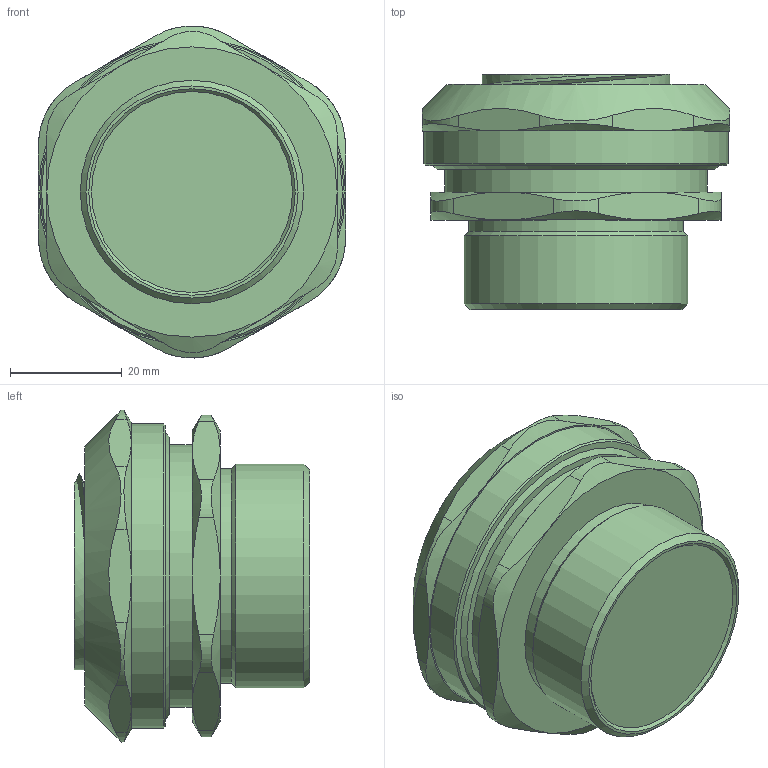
import cadquery as cq
import math


THREAD_CHAMFER = 1.0
THREAD_END = 13.2
LOCKNUT_FRONT = 16.0
LOCKNUT_BACK = 21.0
GASKET_FRONT = 25.1
COLLAR_FRONT = 25.8
HEX_FRONT = 31.95
HEX_BACK = 40.3
SPIGOT_END = 42.1

THREAD_D = 40.0
NECK_D = 38.4
SHANK_D = 47.0
GASKET_D = 51.5
GASKET_FACE_D = 49.6
COLLAR_D = 54.5
COLLAR_CHAMFER = 0.3
SPIGOT_D = 33.6

RECESS_MOUTH_D = 37.0
RECESS_DEPTH = 0.5
RECESS_FLOOR_D = RECESS_MOUTH_D - 2 * RECESS_DEPTH

LOCKNUT_FLATS = 52.0
LOCKNUT_CORNER_R = 8.0
HEX_FLATS = 55.0
HEX_CORNER_R = 13.0
HEX_BACK_FACE_D = 46.4
HEX_BACK_BEVEL = 45.0
NUT_BEVEL = 30.0

RIB_PITCH = 7.6
RIB_BASE = 1.2
RIB_HEIGHT = 1.5
RIB_HALF_SWEEP = 75.0
RIB_OVERLAP = 0.4


def revolve_about_y(profile_points):
    """Revolve a closed (radius, Y) outline about the Y axis."""
    return cq.Workplane("XY").polyline(profile_points).close().revolve(360, (0, 0, 0), (0, 1, 0))


def cylinder(diameter, start, end):
    return cq.Workplane("XZ", origin=(0, start, 0)).circle(diameter / 2).extrude(start - end)


def beveled_hexagon(flats, corner_r, front, back, front_face_d, back_face_d, back_bevel):
    """Hexagonal prism with corners on +Z and -Z, trimmed by a cone at each end."""
    corner_distance = flats / math.sqrt(3)
    prism = (
        cq.Workplane("XZ", origin=(0, front, 0))
        .transformed(rotate=(0, 0, 90))
        .polygon(6, 2 * corner_distance)
        .extrude(front - back)
        .edges("|Y")
        .fillet(corner_r)
    )
    front_spread = (back - front) / math.tan(math.radians(NUT_BEVEL))
    back_spread = (back - front) / math.tan(math.radians(back_bevel))
    front_cone = revolve_about_y([
        (0, front),
        (front_face_d / 2, front),
        (front_face_d / 2 + front_spread, back),
        (0, back),
    ])
    back_cone = revolve_about_y([
        (0, front),
        (back_face_d / 2 + back_spread, front),
        (back_face_d / 2, back),
        (0, back),
    ])
    return prism.intersect(front_cone).intersect(back_cone)


def entry_thread():
    """Plain thread body with a lead-in chamfer, a recess and a relief neck."""
    thread_r = THREAD_D / 2
    neck_r = NECK_D / 2
    return revolve_about_y([
        (0, RECESS_DEPTH),
        (RECESS_FLOOR_D / 2, RECESS_DEPTH),
        (RECESS_MOUTH_D / 2, 0),
        (thread_r - THREAD_CHAMFER, 0),
        (thread_r, THREAD_CHAMFER),
        (thread_r, THREAD_END),
        (neck_r, THREAD_END + thread_r - neck_r),
        (neck_r, LOCKNUT_FRONT),
        (0, LOCKNUT_FRONT),
    ])


def gasket():
    """Sealing ring under the collar, tapering toward the locknut."""
    return revolve_about_y([
        (0, GASKET_FRONT),
        (GASKET_FACE_D / 2, GASKET_FRONT),
        (GASKET_D / 2, COLLAR_FRONT),
        (0, COLLAR_FRONT),
    ])


def collar():
    return cylinder(COLLAR_D, COLLAR_FRONT, HEX_FRONT).faces("<Y").edges().chamfer(COLLAR_CHAMFER)


def spigot_rib():
    """Helical V rib crossing the spigot, its crest centred on +Z at mid length."""
    spigot_r = SPIGOT_D / 2
    height = RIB_PITCH * 2 * RIB_HALF_SWEEP / 360
    root_r = spigot_r - RIB_OVERLAP
    crest_r = spigot_r + RIB_HEIGHT
    half_base = RIB_BASE / 2
    helix = cq.Workplane(obj=cq.Wire.makeHelix(RIB_PITCH, height, spigot_r))
    rib = (
        cq.Workplane("XZ")
        .polyline([
            (root_r, -half_base),
            (spigot_r, -half_base),
            (crest_r, 0),
            (spigot_r, half_base),
            (root_r, half_base),
        ])
        .close()
        .sweep(helix, isFrenet=True)
        .rotate((0, 0, 0), (1, 0, 0), -90)
        .rotate((0, 0, 0), (0, 1, 0), -90 - RIB_HALF_SWEEP)
        .translate((0, (HEX_BACK + SPIGOT_END - height) / 2, 0))
    )
    return rib.intersect(cylinder(HEX_BACK_FACE_D, HEX_BACK, SPIGOT_END))


locknut = beveled_hexagon(
    LOCKNUT_FLATS, LOCKNUT_CORNER_R, LOCKNUT_FRONT, LOCKNUT_BACK,
    LOCKNUT_FLATS, LOCKNUT_FLATS, NUT_BEVEL,
)
body_hexagon = beveled_hexagon(
    HEX_FLATS, HEX_CORNER_R, HEX_FRONT, HEX_BACK,
    HEX_FLATS, HEX_BACK_FACE_D, HEX_BACK_BEVEL,
)

result = (
    entry_thread()
    .union(locknut)
    .union(cylinder(SHANK_D, LOCKNUT_BACK, GASKET_FRONT))
    .union(gasket())
    .union(collar())
    .union(body_hexagon)
    .union(cylinder(SPIGOT_D, HEX_BACK, SPIGOT_END))
    .union(spigot_rib())
)